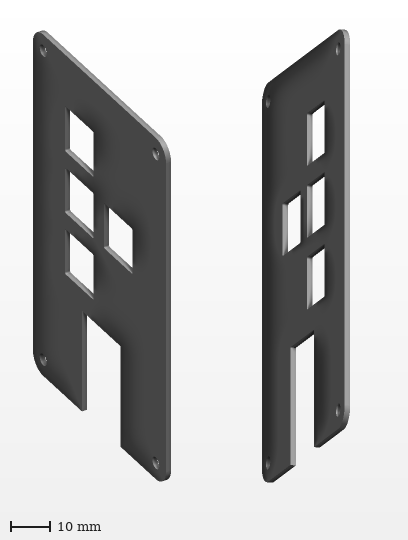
import cadquery as cq

PLATE_WIDTH = 65.1
PLATE_HEIGHT = 105.9
PLATE_THICKNESS = 1.5
CORNER_RADIUS = 5.0

MOUNTING_HOLE_DIAMETER = 3.4
HOLE_SPACING_X = PLATE_WIDTH - 2 * CORNER_RADIUS
HOLE_SPACING_Z = PLATE_HEIGHT - 2 * CORNER_RADIUS

SWITCH_SIZE = 14.0
SWITCH_CORNER_RADIUS = 0.5
SWITCH_PITCH = 19.05
MIDDLE_SWITCH_X = -9.85
MIDDLE_SWITCH_Z = 11.0
SWITCH_GRID = [(0, 1), (0, 0), (0, -1), (1, 0)]

NOTCH_WIDTH = 18.7
NOTCH_DEPTH = 31.2
NOTCH_CENTER_X = 0.8


def make_plate():
    """Flat plate with rounded corners."""
    plate = cq.Workplane("XY").box(PLATE_WIDTH, PLATE_THICKNESS, PLATE_HEIGHT)
    return plate.edges("|Y").fillet(CORNER_RADIUS)


def make_mounting_holes():
    """One through-hole cylinder at each corner of the plate."""
    return (
        cq.Workplane("XZ")
        .rect(HOLE_SPACING_X, HOLE_SPACING_Z, forConstruction=True)
        .vertices()
        .circle(MOUNTING_HOLE_DIAMETER / 2)
        .extrude(PLATE_THICKNESS, both=True)
    )


def make_switch_cutout(column, row):
    """Square through-cutter with small corner radii at one grid position."""
    center_x = MIDDLE_SWITCH_X + column * SWITCH_PITCH
    center_z = MIDDLE_SWITCH_Z + row * SWITCH_PITCH
    return (
        cq.Workplane("XY")
        .box(SWITCH_SIZE, 2 * PLATE_THICKNESS, SWITCH_SIZE)
        .edges("|Y")
        .fillet(SWITCH_CORNER_RADIUS)
        .translate((center_x, 0, center_z))
    )


def make_notch():
    """Through-cutter rising from the bottom edge of the plate."""
    center_z = (NOTCH_DEPTH - PLATE_HEIGHT) / 2
    notch = cq.Workplane("XY").box(NOTCH_WIDTH, 2 * PLATE_THICKNESS, NOTCH_DEPTH)
    return notch.translate((NOTCH_CENTER_X, 0, center_z))


result = make_plate().cut(make_mounting_holes()).cut(make_notch())
for grid_column, grid_row in SWITCH_GRID:
    result = result.cut(make_switch_cutout(grid_column, grid_row))